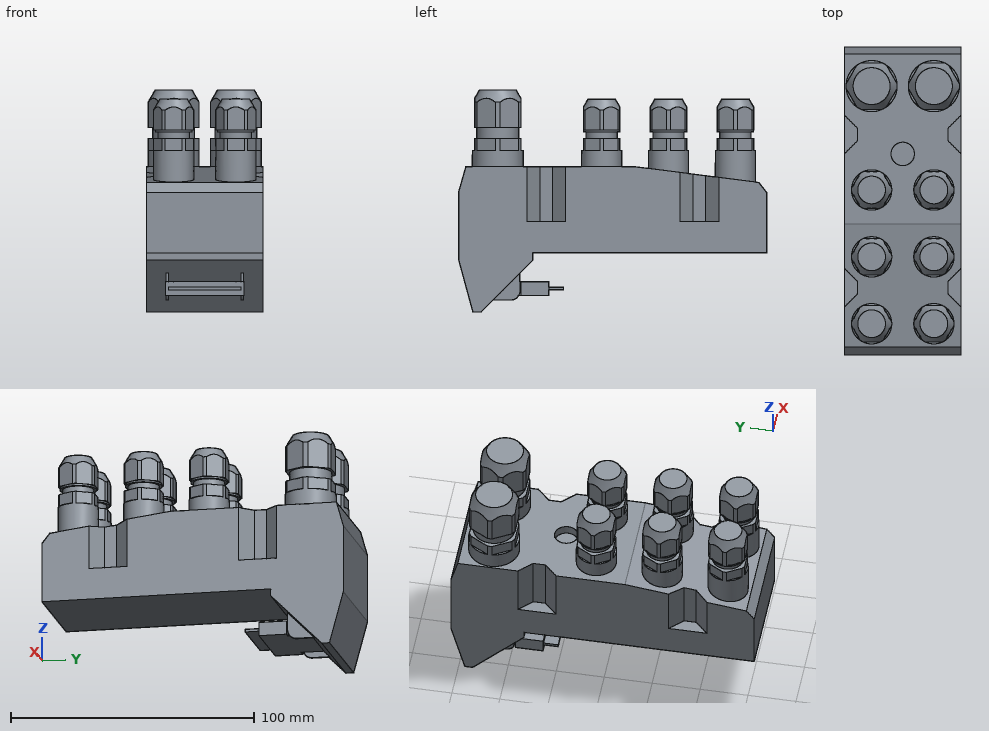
import cadquery as cq
import math


width = 48.0
length = 126.6
top_z = 59.8
underside_z = 24.3
front_chamfer_length = 3.3
front_chamfer_z = 49.1
front_edge_z = 53.3
roof_bend_y = 53.9
back_chamfer_length = 2.9
back_chamfer_z = 49.5
foot_ramp_top_z = 21.4
foot_front_y = 96.1
foot_back_slant = 5.8

notch_depth = 5.5
notch_floor_width = 5.1
notch_floor_z = 37.3
notch_centers_y = (27.7, 90.6)

recess_diameter = 9.6
recess_depth = 3.8
recess_y = 82.7

bracket_thickness = 1.0
bracket_outer_width = 31.9
bracket_front_y = 101.4
bracket_bottom_z = 5.0
bracket_corner_radius = 3.8
plug_width = 32.4
plug_front_y = 89.5
plug_back_y = 101.0
plug_bottom_z = 6.8
plug_height = 5.7
core_width = 25.8
tongue_width = 29.9
tongue_front_y = 83.4
tongue_thickness = 1.1

gland_pitch_x = 25.6
gland_columns_x = (-gland_pitch_x / 2, gland_pitch_x / 2)
large_gland_y = 110.5
small_gland_first_y = 12.9
small_gland_pitch_y = 27.5
small_gland_rows = 3
base_top_z = 66.5
nut_top_z = 71.4
cone_slope = math.tan(math.radians(30))

large_base_diameter = 21.0
large_across_flats = 19.1
large_neck_diameter = 17.3
large_cap_bottom_z = 75.8
large_top_z = 91.3
large_top_diameter = 15.2

small_base_diameter = 16.6
small_across_flats = 15.1
small_neck_diameter = 12.9
small_cap_bottom_z = 74.8
small_top_z = 87.5
small_top_diameter = 11.4
small_collar_height = 0.8

foot_tip_y = foot_front_y + foot_ramp_top_z


def side_extrusion(points, thickness, center_x=0.0):
    """Extrude a closed outline given as (y, z) points along X, centred on center_x."""
    sketch = cq.Workplane("YZ", origin=(center_x, 0, 0)).polyline(points).close()
    return sketch.extrude(thickness / 2, both=True)


def box_between(box_width, front_y, back_y, bottom_z, height):
    """Box centred on X, from front_y to back_y, standing on bottom_z."""
    box = cq.Workplane("XY").box(box_width, back_y - front_y, height, centered=(True, False, False))
    return box.translate((0, front_y, bottom_z))


def make_shell():
    outline = [
        (0, underside_z),
        (0, front_chamfer_z),
        (front_chamfer_length, front_edge_z),
        (roof_bend_y, top_z),
        (length - back_chamfer_length, top_z),
        (length, back_chamfer_z),
        (length, foot_ramp_top_z),
        (length - foot_back_slant, 0),
        (foot_tip_y, 0),
        (foot_front_y, foot_ramp_top_z),
        (foot_front_y, underside_z),
    ]
    return side_extrusion(outline, width)


def make_notch(center_y, side):
    """Cutter with 45 degree flanks, open at the roof, for the wall on side -1 or +1."""
    wall_x = side * width / 2
    floor_x = wall_x - side * notch_depth
    floor_half = notch_floor_width / 2
    mouth_half = floor_half + notch_depth
    outline = [
        (wall_x, center_y - mouth_half),
        (floor_x, center_y - floor_half),
        (floor_x, center_y + floor_half),
        (wall_x, center_y + mouth_half),
    ]
    sketch = cq.Workplane("XY", origin=(0, 0, notch_floor_z)).polyline(outline).close()
    return sketch.extrude(top_z - notch_floor_z)


def make_recess():
    sketch = cq.Workplane("XY", origin=(0, recess_y, top_z)).circle(recess_diameter / 2)
    return sketch.extrude(-recess_depth)


def make_bracket(side):
    """Thin plate filling the corner under the ramp, rounded at its lower front."""
    ramp_end_y = foot_tip_y - bracket_bottom_z
    ramp_start_z = foot_tip_y - bracket_front_y
    outline = [
        (bracket_front_y, bracket_bottom_z),
        (bracket_front_y, ramp_start_z),
        (ramp_end_y, bracket_bottom_z),
    ]
    center_x = side * (bracket_outer_width - bracket_thickness) / 2
    plate = side_extrusion(outline, bracket_thickness, center_x)
    lower_front_corner = cq.selectors.NearestToPointSelector((center_x, bracket_front_y, bracket_bottom_z))
    return plate.edges("|X").edges(lower_front_corner).fillet(bracket_corner_radius)


def make_connector():
    plug = box_between(plug_width, plug_front_y, plug_back_y, plug_bottom_z, plug_height)
    core_back_y = foot_tip_y - plug_bottom_z
    core = box_between(core_width, plug_back_y, core_back_y, plug_bottom_z, plug_height)
    tongue_bottom_z = plug_bottom_z + (plug_height - tongue_thickness) / 2
    tongue = box_between(tongue_width, tongue_front_y, plug_front_y, tongue_bottom_z, tongue_thickness)
    return plug.union(core).union(tongue)


def make_housing():
    housing = make_shell()
    for side in (-1, 1):
        housing = housing.union(make_bracket(side))
    housing = housing.union(make_connector())
    for side in (-1, 1):
        for center_y in notch_centers_y:
            housing = housing.cut(make_notch(center_y, side))
    return housing.cut(make_recess())


def disc(diameter, bottom_z, stop_z):
    return cq.Workplane("XY", origin=(0, 0, bottom_z)).circle(diameter / 2).extrude(stop_z - bottom_z)


def rounded_hexagon(across_flats, corner_diameter, bottom_z, stop_z):
    """Hexagonal prism with two flats facing Y and its corners turned to a diameter."""
    across_corners = across_flats / math.cos(math.radians(30))
    sketch = cq.Workplane("XY", origin=(0, 0, bottom_z)).polygon(6, across_corners)
    return sketch.extrude(stop_z - bottom_z).intersect(disc(corner_diameter, bottom_z, stop_z))


def make_cap(across_flats, corner_diameter, top_diameter, bottom_z, stop_z):
    """Hexagonal cap nut whose top is turned to a cone."""
    prism = rounded_hexagon(across_flats, corner_diameter, bottom_z, stop_z)
    top_radius = top_diameter / 2
    cone_radius = top_radius + (stop_z - bottom_z) * cone_slope
    profile = [(0, bottom_z), (cone_radius, bottom_z), (top_radius, stop_z), (0, stop_z)]
    cone = cq.Workplane("XZ").polyline(profile).close().revolve(360, (0, 0, 0), (0, 1, 0))
    return prism.intersect(cone)


def make_gland(base_diameter, across_flats, neck_diameter, cap_bottom_z, gland_top_z, top_diameter):
    """Cable gland on the Z axis, its base long enough to reach below the roof."""
    base = disc(base_diameter, underside_z, base_top_z)
    nut = rounded_hexagon(across_flats, base_diameter, base_top_z, nut_top_z)
    neck = disc(neck_diameter, nut_top_z, cap_bottom_z)
    cap = make_cap(across_flats, base_diameter, top_diameter, cap_bottom_z, gland_top_z)
    return base.union(nut).union(neck).union(cap)


def make_large_gland():
    return make_gland(
        large_base_diameter,
        large_across_flats,
        large_neck_diameter,
        large_cap_bottom_z,
        large_top_z,
        large_top_diameter,
    )


def make_small_gland():
    gland = make_gland(
        small_base_diameter,
        small_across_flats,
        small_neck_diameter,
        small_cap_bottom_z,
        small_top_z,
        small_top_diameter,
    )
    collar_bottom_z = small_cap_bottom_z - small_collar_height
    return gland.union(disc(small_across_flats, collar_bottom_z, small_cap_bottom_z))


def seat_on_roof(gland, x, y, shell):
    """Place a gland and trim its base to the roof it stands on."""
    return gland.translate((x, y, 0)).cut(shell)


roof = make_shell()
housing = make_housing()

large_gland = make_large_gland()
large_glands = [seat_on_roof(large_gland, x, large_gland_y, roof) for x in gland_columns_x]

small_gland = make_small_gland()
small_glands = []
for row in range(small_gland_rows):
    row_y = small_gland_first_y + row * small_gland_pitch_y
    for column_x in gland_columns_x:
        small_glands.append(seat_on_roof(small_gland, column_x, row_y, roof))

glands = large_glands + small_glands
result = cq.Compound.makeCompound([housing.val(), *[gland.val() for gland in glands]])